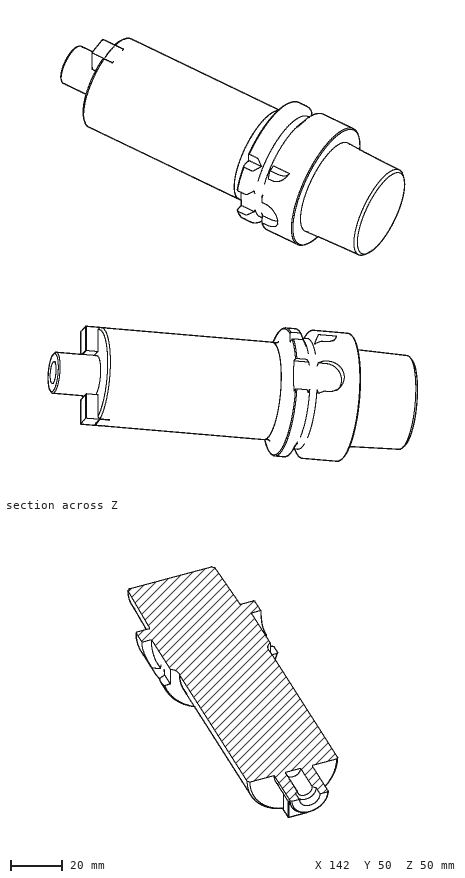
import cadquery as cq
LENGTH = 142.0
TAPER_START = LENGTH - 25.0
FLANGE_START = TAPER_START - 26.0
BODY_START = 16.9
KEY_START = 12.0
KEY_SEAT_END = 21.6
NECK_START = 86.6

SPIGOT_RADIUS = 16.0 / 2
BODY_RADIUS = 38.0 / 2
NECK_RADIUS = 37.8 / 2
FLANGE_RADIUS = 50.0 / 2
TAPER_BIG_RADIUS = BODY_RADIUS
TAPER_SMALL_RADIUS = 18.3

SPIGOT_CHAMFER = 0.5
BODY_CHAMFER = 0.9
FLANGE_CHAMFER = 0.4
TAPER_CHAMFER = 1.0

ROOT_RADIUS = 3.3
ROOT_RECESS = 0.1
RECESS_RADIUS = 23.5
ROOT_END = FLANGE_START + ROOT_RECESS
ROOT_START = ROOT_END - ROOT_RADIUS

GROOVE_CENTER = TAPER_START - 18.0
GROOVE_RADIUS = 21.6
GROOVE_FLOOR_WIDTH = 3.4
GROOVE_MOUTH_WIDTH = 7.1
GROOVE_ROUND = 0.4

MOUTH_RADIUS = 8.5 / 2
HOLE_RADIUS = 6.2 / 2
MOUTH_DEPTH = 4.0
HOLE_DEPTH = 17.0

KEY_WIDTH = 8.1
KEY_INNER_Z = 8.8
KEY_OUTER_Z = 18.7
KEY_CHAMFER = 0.21

CORNER_RADIUS = 6.0
SLOT_FLOOR = 21.0
SLOT_END = FLANGE_START + 19.3
NARROW_SLOT_WIDTH = 12.4
WIDE_SLOT_WIDTH = 14.5
NOTCH_FLOOR = 15.6
NOTCH_END = FLANGE_START + 13.2 + CORNER_RADIUS


def box(x_range, y_range, z_range):
    """Box between two limits on each axis, given in either order."""
    limits = [sorted(pair) for pair in (x_range, y_range, z_range)]
    sizes = [high - low for low, high in limits]
    corner = tuple(low for low, _ in limits)
    return cq.Workplane("XY").box(*sizes, centered=False).translate(corner)


def turned_blank():
    """Spigot, body, neck, flange and taper shank as one revolved profile around X."""
    profile = (
        cq.Workplane("XY")
        .lineTo(0, SPIGOT_RADIUS - SPIGOT_CHAMFER)
        .lineTo(SPIGOT_CHAMFER, SPIGOT_RADIUS)
        .lineTo(BODY_START, SPIGOT_RADIUS)
        .lineTo(BODY_START, BODY_RADIUS - BODY_CHAMFER)
        .lineTo(BODY_START + BODY_CHAMFER, BODY_RADIUS)
        .lineTo(NECK_START, BODY_RADIUS)
        .lineTo(NECK_START, NECK_RADIUS)
        .lineTo(ROOT_START, NECK_RADIUS)
        .tangentArcPoint((ROOT_END, NECK_RADIUS + ROOT_RADIUS), relative=False)
        .lineTo(FLANGE_START, RECESS_RADIUS)
        .lineTo(FLANGE_START, FLANGE_RADIUS - FLANGE_CHAMFER)
        .lineTo(FLANGE_START + FLANGE_CHAMFER, FLANGE_RADIUS)
        .lineTo(TAPER_START - FLANGE_CHAMFER, FLANGE_RADIUS)
        .lineTo(TAPER_START, FLANGE_RADIUS - FLANGE_CHAMFER)
        .lineTo(TAPER_START, TAPER_BIG_RADIUS)
        .lineTo(LENGTH - TAPER_CHAMFER, TAPER_SMALL_RADIUS)
        .lineTo(LENGTH, TAPER_SMALL_RADIUS - TAPER_CHAMFER)
        .lineTo(LENGTH, 0)
        .close()
    )
    return profile.revolve(360, (0, 0, 0), (1, 0, 0))


def cut_gripper_groove(blank):
    """Cut the V groove, then round its two floor corners and two mouth edges."""
    half_floor = GROOVE_FLOOR_WIDTH / 2
    half_mouth = GROOVE_MOUTH_WIDTH / 2
    section = (
        cq.Workplane("XY")
        .moveTo(GROOVE_CENTER - half_floor, GROOVE_RADIUS)
        .lineTo(GROOVE_CENTER + half_floor, GROOVE_RADIUS)
        .lineTo(GROOVE_CENTER + half_mouth, FLANGE_RADIUS)
        .lineTo(GROOVE_CENTER - half_mouth, FLANGE_RADIUS)
        .close()
    )
    grooved = blank.cut(section.revolve(360, (0, 0, 0), (1, 0, 0)))
    zone_half = GROOVE_MOUTH_WIDTH
    groove_zone = cq.selectors.BoxSelector(
        (GROOVE_CENTER - zone_half, -FLANGE_RADIUS, -FLANGE_RADIUS),
        (GROOVE_CENTER + zone_half, FLANGE_RADIUS, FLANGE_RADIUS),
    )
    return grooved.edges("%CIRCLE").edges(groove_zone).fillet(GROOVE_ROUND)


def driving_key(side):
    """Key on the +Z (side = 1) or -Z (side = -1) half, seated in the body."""
    key = box(
        (KEY_START, KEY_SEAT_END),
        (-KEY_WIDTH / 2, KEY_WIDTH / 2),
        (side * KEY_INNER_Z, side * KEY_OUTER_Z),
    )
    inner_edge = "<Z" if side > 0 else ">Z"
    return key.faces("<X").edges(f"|Z or {inner_edge}").chamfer(KEY_CHAMFER)


def narrow_slot():
    """Cutter for the -Y slot, open to the body side and ending in a full half circle."""
    start = ROOT_START - NARROW_SLOT_WIDTH / 2
    slot = cq.Workplane("XZ", origin=((start + SLOT_END) / 2, -SLOT_FLOOR, 0))
    return slot.slot2D(SLOT_END - start, NARROW_SLOT_WIDTH).extrude(FLANGE_RADIUS - SLOT_FLOOR)


def wide_slot():
    """Cutter for the +Y slot, open to the body side and ending flat with rounded corners."""
    slot = box(
        (ROOT_START, SLOT_END),
        (SLOT_FLOOR, FLANGE_RADIUS),
        (-WIDE_SLOT_WIDTH / 2, WIDE_SLOT_WIDTH / 2),
    )
    return slot.edges("|Y and >X").fillet(CORNER_RADIUS)


def orientation_notch():
    """Cutter for the right-angled notch at -Y +Z, whose floor curves up at its end."""
    notch = box(
        (ROOT_START, NOTCH_END),
        (-FLANGE_RADIUS, -NOTCH_FLOOR),
        (NOTCH_FLOOR, FLANGE_RADIUS),
    )
    return notch.edges("|Y and >X and <Z").fillet(CORNER_RADIUS)


def screw_hole():
    """Cutter for the blind hole along X, wide at the mouth."""
    shoulder_end = MOUTH_DEPTH + MOUTH_RADIUS - HOLE_RADIUS
    profile = (
        cq.Workplane("XY")
        .lineTo(0, MOUTH_RADIUS)
        .lineTo(MOUTH_DEPTH, MOUTH_RADIUS)
        .lineTo(shoulder_end, HOLE_RADIUS)
        .lineTo(HOLE_DEPTH, HOLE_RADIUS)
        .lineTo(HOLE_DEPTH, 0)
        .close()
    )
    return profile.revolve(360, (0, 0, 0), (1, 0, 0))


result = (
    cut_gripper_groove(turned_blank())
    .union(driving_key(1))
    .union(driving_key(-1))
    .cut(narrow_slot())
    .cut(wide_slot())
    .cut(orientation_notch())
    .cut(screw_hole())
)